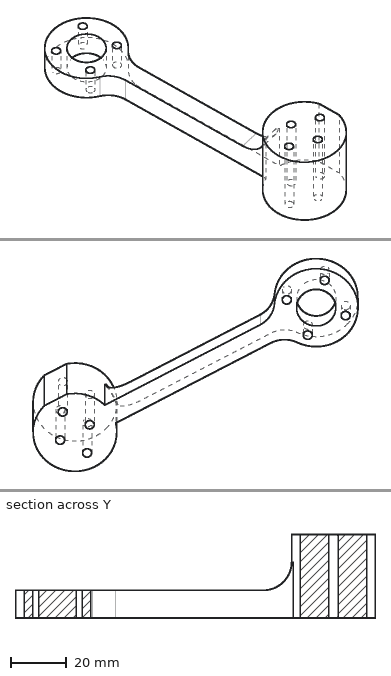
import cadquery as cq
import math

length = 129.0
end_diameter = 30.0
end_radius = end_diameter / 2
post_height = 30.0
arm_thickness = 10.0
arm_width = 8.0
blend_radius = 10.0
bore_diameter = 14.0
screw_diameter = 3.2
ring_bolt_radius = 11.0
post_hole_x = 6.0
post_hole_y = 9.0
post_flat_y = 14.3

post_x = length - end_diameter
half_width = arm_width / 2


def make_ring():
    return cq.Workplane("XY").circle(end_radius).extrude(arm_thickness)


def make_arm():
    """Arm with concave flares that run tangentially into the ring."""
    center_distance = end_radius + blend_radius
    flare_y = half_width + blend_radius
    flare_x = math.sqrt(center_distance**2 - flare_y**2)
    touch_ratio = end_radius / center_distance
    touch_x = flare_x * touch_ratio
    touch_y = flare_y * touch_ratio
    touch_angle = math.atan2(flare_y, flare_x) + math.pi
    middle_angle = (touch_angle + 1.5 * math.pi) / 2
    middle_x = flare_x + blend_radius * math.cos(middle_angle)
    middle_y = flare_y + blend_radius * math.sin(middle_angle)
    return (
        cq.Workplane("XY")
        .moveTo(0, touch_y)
        .lineTo(touch_x, touch_y)
        .threePointArc((middle_x, middle_y), (flare_x, half_width))
        .lineTo(post_x, half_width)
        .lineTo(post_x, -half_width)
        .lineTo(flare_x, -half_width)
        .threePointArc((middle_x, -middle_y), (touch_x, -touch_y))
        .lineTo(0, -touch_y)
        .close()
        .extrude(arm_thickness)
    )


def make_post():
    """Upright cylinder with one flat on its +Y side."""
    post = cq.Workplane("XY").center(post_x, 0).circle(end_radius).extrude(post_height)
    flat_cutter = (
        cq.Workplane("XY")
        .box(end_diameter, end_diameter, post_height, centered=(True, False, False))
        .translate((post_x, post_flat_y, 0))
    )
    return post.cut(flat_cutter)


def make_post_gusset():
    """Concave blend from the top of the arm up to the post."""
    post_left = post_x - end_radius
    blend_left = post_left - blend_radius
    blend_top = arm_thickness + blend_radius
    diagonal = blend_radius * math.sqrt(0.5)
    return (
        cq.Workplane("XZ")
        .moveTo(blend_left, arm_thickness)
        .threePointArc((blend_left + diagonal, blend_top - diagonal), (post_left, blend_top))
        .lineTo(post_x, blend_top)
        .lineTo(post_x, 0)
        .lineTo(blend_left, 0)
        .close()
        .extrude(half_width, both=True)
    )


def make_holes():
    """Through holes: ring bore, ring screw square and post screw diamond."""
    square_offset = ring_bolt_radius * math.sqrt(0.5)
    ring_points = [(x, y) for x in (-square_offset, square_offset) for y in (-square_offset, square_offset)]
    post_points = [
        (post_x - post_hole_x, 0),
        (post_x + post_hole_x, 0),
        (post_x, -post_hole_y),
        (post_x, post_hole_y),
    ]
    screw_holes = (
        cq.Workplane("XY").pushPoints(ring_points + post_points).circle(screw_diameter / 2).extrude(post_height)
    )
    bore = cq.Workplane("XY").circle(bore_diameter / 2).extrude(post_height)
    return screw_holes.union(bore)


body = make_ring().union(make_arm()).union(make_post()).union(make_post_gusset())
result = body.cut(make_holes())